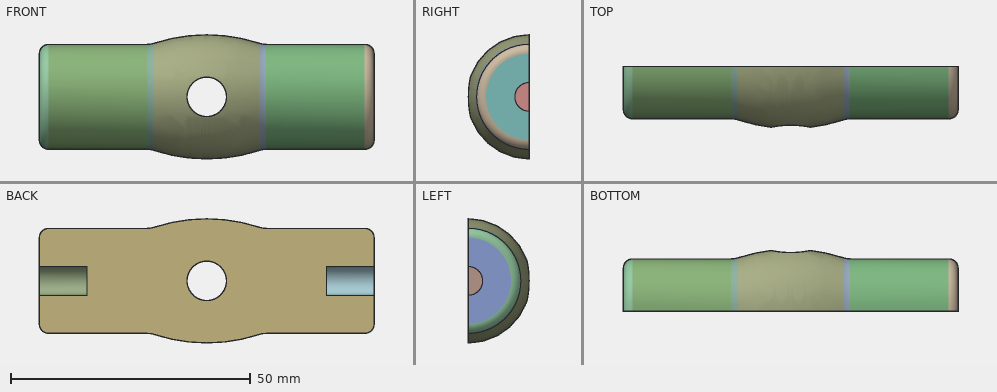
import cadquery as cq
import math

length = 70.0
bar_radius = 11.0
bulge_radius = 12.985
bulge_arc_radius = 35.0
blend_radius = 5.0
end_fillet = 1.995
cross_hole_diameter = 8.2
end_bore_diameter = 6.0
end_bore_depth = 10.0

half_length = length / 2

bulge_center_r = bulge_radius - bulge_arc_radius
blend_center_r = bar_radius + blend_radius
center_distance = bulge_arc_radius + blend_radius
center_rise = blend_center_r - bulge_center_r
blend_start_x = math.sqrt(center_distance**2 - center_rise**2)
blend_angle = math.asin(blend_start_x / center_distance)
bulge_end_x = bulge_arc_radius * math.sin(blend_angle)
bulge_end_r = bulge_center_r + bulge_arc_radius * math.cos(blend_angle)
blend_mid_x = blend_start_x - blend_radius * math.sin(blend_angle / 2)
blend_mid_r = blend_center_r - blend_radius * math.cos(blend_angle / 2)


def make_body():
    """Half of a turned bar with a central bulge, flat on the plane Y = 0."""
    profile = (
        cq.Workplane("XY")
        .moveTo(-half_length, 0)
        .lineTo(-half_length, -(bar_radius - end_fillet))
        .radiusArc((-half_length + end_fillet, -bar_radius), -end_fillet)
        .lineTo(-blend_start_x, -bar_radius)
        .threePointArc((-blend_mid_x, -blend_mid_r), (-bulge_end_x, -bulge_end_r))
        .threePointArc((0, -bulge_radius), (bulge_end_x, -bulge_end_r))
        .threePointArc((blend_mid_x, -blend_mid_r), (blend_start_x, -bar_radius))
        .lineTo(half_length - end_fillet, -bar_radius)
        .radiusArc((half_length, -(bar_radius - end_fillet)), -end_fillet)
        .lineTo(half_length, 0)
        .close()
    )
    return profile.revolve(180, (0, 0, 0), (1, 0, 0)).rotate((0, 0, 0), (1, 0, 0), -90)


def make_cross_hole():
    """Through hole along Y at the middle of the bulge."""
    return (
        cq.Workplane("XZ")
        .circle(cross_hole_diameter / 2)
        .extrude(2 * bulge_radius, both=True)
    )


def make_end_bore(side):
    """Blind bore along the bar axis, entering from the end at the given side."""
    return (
        cq.Workplane("YZ", origin=(side * half_length, 0, 0))
        .circle(end_bore_diameter / 2)
        .extrude(-side * end_bore_depth)
    )


result = make_body().cut(make_cross_hole())
for side in (-1, 1):
    result = result.cut(make_end_bore(side))